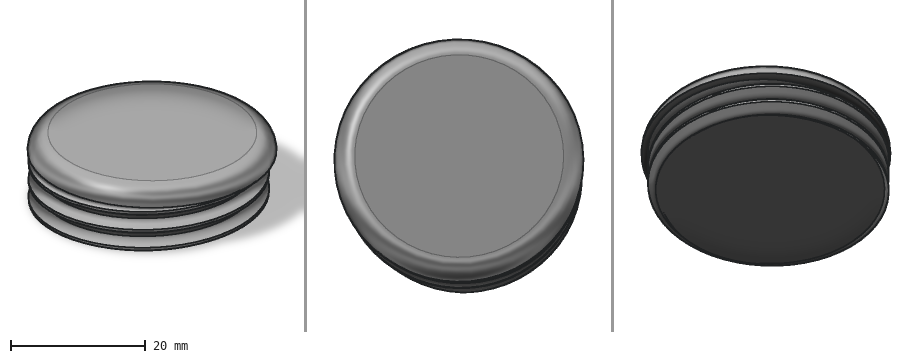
import cadquery as cq
import math

cap_diameter = 37.0
cap_thickness = 3.0

overall_height = 10.95
plug_height = overall_height - cap_thickness
plug_offset_x = -0.03
plug_offset_y = -0.5

major_diameter = 35.76
minor_diameter = 32.33
pitch = 3.0
crest_width = 0.45
flank_angle = 30.0
first_crest_height = 1.0

root_overlap = 0.3
spare_turns = 2
trim_margin = 1.0

major_radius = major_diameter / 2
minor_radius = minor_diameter / 2


def make_cap():
    cap_radius = cap_diameter / 2
    flat_radius = cap_radius - cap_thickness
    arc_middle = cap_thickness * math.sqrt(0.5)
    return (
        cq.Workplane("XZ")
        .moveTo(0, plug_height)
        .lineTo(cap_radius, plug_height)
        .threePointArc(
            (flat_radius + arc_middle, plug_height + arc_middle),
            (flat_radius, overall_height),
        )
        .lineTo(0, overall_height)
        .close()
        .revolve(360, (0, 0, 0), (0, 1, 0))
    )


def make_ridge():
    """One continuous helical ridge of trapezoidal section, longer than the plug at both ends."""
    base_radius = minor_radius - root_overlap
    half_crest = crest_width / 2
    half_base = half_crest + (major_radius - base_radius) * math.tan(math.radians(flank_angle))
    start_height = first_crest_height - spare_turns * pitch
    ridge_length = (math.ceil(plug_height / pitch) + 2 * spare_turns) * pitch

    def edge_helix(radius, height):
        helix = cq.Wire.makeHelix(pitch, ridge_length, radius)
        return helix.moved(cq.Location(cq.Vector(0, 0, start_height + height)))

    helices = [
        edge_helix(base_radius, -half_base),
        edge_helix(major_radius, -half_crest),
        edge_helix(major_radius, half_crest),
        edge_helix(base_radius, half_base),
    ]
    sides = [cq.Face.makeRuledSurface(helices[i - 1], helices[i]) for i in range(len(helices))]
    ends = []
    for place in (0, 1):
        corners = [helix.positionAt(place) for helix in helices]
        ends.append(cq.Face.makeFromWires(cq.Wire.makePolygon(corners, close=True)))
    return cq.Workplane(cq.Solid.makeSolid(cq.Shell.makeShell(sides + ends)))


def make_plug():
    core = cq.Workplane("XY").circle(minor_radius).extrude(plug_height)
    trimming_cylinder = cq.Workplane("XY").circle(major_radius + trim_margin).extrude(plug_height)
    thread = make_ridge().intersect(trimming_cylinder)
    return core.union(thread).translate((plug_offset_x, plug_offset_y, 0))


result = make_cap().union(make_plug())